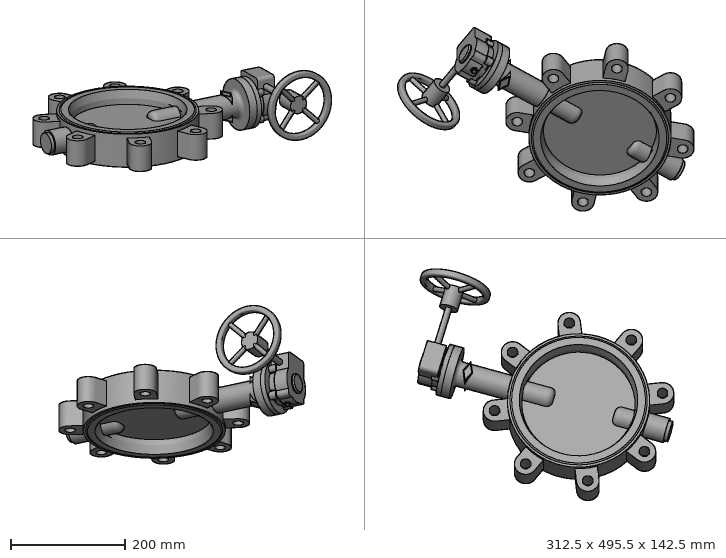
import cadquery as cq
import math


RING_RADIUS = 124.5
RING_HALF_HEIGHT = 30.5
FACE_RADIUS = 120.0
FACE_HEIGHT = 1.5
FACE_EDGE_WIDTH = 3.0
MOUTH_RADIUS = 103.5
DISC_RADIUS = 99.0
DISC_HALF_THICKNESS = 6.0
THROAT_TOP = 17.0
WALL_MIDDLE = (MOUTH_RADIUS + RING_RADIUS) / 2

LUG_COUNT = 8
BOLT_CIRCLE_RADIUS = 147.5
LUG_RADIUS = 20.0
LUG_HEIGHT = 47.5
LUG_HOLE_DIAMETER = 18.5

STEM_DIAMETER = 38.0
STEM_END_FILLET = 10.5
UPPER_BOSS_END = 45.0
LOWER_BOSS_END = -64.5

NECK_DIAMETER = 44.0
LOWER_NECK_END = -160.5
STEM_STUB_DIAMETER = 37.0
STEM_STUB_END = -167.0
FLANGE_RADIUS = 46.0
FLANGE_BOTTOM = 221.5
MATING_PLANE = 237.0
NECK_FLARE = 7.0

DIAMOND_CENTER = 201.5
DIAMOND_HALF_WIDTH = 20.0
DIAMOND_HALF_LENGTH = 9.0
DIAMOND_HALF_HEIGHT = 23.5
DIAMOND_INNER_RATIO = 0.8
DIAMOND_RECESS = 0.5

GEAR_FLANGE_TOP = 246.0
BLOCK_END_Y = 248.0
GEAR_TOP = 283.0
BLOCK_HALF_WIDTH = 28.0
BLOCK_BOTTOM = -30.5
BLOCK_TOP = 51.5
BLOCK_FILLET = 6.5
DRUM_RADIUS = 34.0
DRUM_BOTTOM = 257.5
CORE_TOP_RADIUS = 33.0
CORE_BOTTOM_RADIUS = 31.5
BOLT_OFFSET = 25.0
BOLT_DIAMETER = 15.5
BOLT_TOP = 259.0
CAP_RADIUS = 18.0
CAP_TOP = 287.5
CAP_CHAMFER = 2.5

WHEEL_AXIS_Y = 265.5
WHEEL_AXIS_Z = 33.5
ROD_DIAMETER = 11.5
HUB_START = 100.0
HUB_END = 138.0
HUB_RADIUS = 16.5
RIM_CENTER_X = 141.5
RIM_WIDTH = 12.5
RIM_OUTER_RADIUS = 63.0
RIM_INNER_RADIUS = 52.0
RIM_FILLET = 3.0
SPOKE_COUNT = 4
SPOKE_RADIUS = 4.5
SPOKE_START_X = 132.0

PLUG_HEX_SIZE = 13.0
PLUG_HEX_HEIGHT = 5.0
PLUG_TIP_DIAMETER = 7.5
PLUG_TIP_HEIGHT = 3.0


def cylinder_along_y(radius, start, end, x=0.0, z=0.0):
    return cq.Workplane("XZ", origin=(x, start, z)).circle(radius).extrude(start - end)


def cylinder_along_x(radius, start, end):
    center = (start, WHEEL_AXIS_Y, WHEEL_AXIS_Z)
    return cq.Workplane("YZ", origin=center).circle(radius).extrude(end - start)


def make_ring_with_disc():
    """Ring closed by the disc: one half profile above the XY plane, mirrored and revolved."""
    top = RING_HALF_HEIGHT + FACE_HEIGHT
    upper = [
        (0, DISC_HALF_THICKNESS),
        (DISC_RADIUS, DISC_HALF_THICKNESS),
        (DISC_RADIUS, THROAT_TOP),
        (MOUTH_RADIUS, top),
        (FACE_RADIUS - FACE_EDGE_WIDTH, top),
        (FACE_RADIUS, RING_HALF_HEIGHT),
        (RING_RADIUS, RING_HALF_HEIGHT),
    ]
    lower = [(radius, -height) for radius, height in reversed(upper)]
    return cq.Workplane("XZ").polyline(upper + lower).close().revolve(360, (0, 0), (0, 1))


def make_lug(angle):
    """Round-ended lug reaching from inside the ring wall to the bolt circle."""
    lug = (
        cq.Workplane("XY", origin=(0, 0, -LUG_HEIGHT / 2))
        .moveTo(WALL_MIDDLE, -LUG_RADIUS)
        .lineTo(BOLT_CIRCLE_RADIUS, -LUG_RADIUS)
        .threePointArc((BOLT_CIRCLE_RADIUS + LUG_RADIUS, 0), (BOLT_CIRCLE_RADIUS, LUG_RADIUS))
        .lineTo(WALL_MIDDLE, LUG_RADIUS)
        .close()
        .extrude(LUG_HEIGHT)
    )
    hole = (
        cq.Workplane("XY", origin=(BOLT_CIRCLE_RADIUS, 0, -LUG_HEIGHT / 2))
        .circle(LUG_HOLE_DIAMETER / 2)
        .extrude(LUG_HEIGHT)
    )
    return lug.cut(hole).rotate((0, 0, 0), (0, 0, 1), angle)


def make_stem_bosses():
    """Stem ends reaching in from the ring wall over the disc, with rounded tips."""
    stem_radius = STEM_DIAMETER / 2
    upper = cylinder_along_y(stem_radius, UPPER_BOSS_END, WALL_MIDDLE)
    upper = upper.faces("<Y").edges().fillet(STEM_END_FILLET)
    lower = cylinder_along_y(stem_radius, -WALL_MIDDLE, LOWER_BOSS_END)
    lower = lower.faces(">Y").edges().fillet(STEM_END_FILLET)
    return upper.union(lower)


def make_upper_neck():
    """Neck that flares through a concave arc into the mounting flange."""
    arc_center_radius = NECK_DIAMETER / 2 + NECK_FLARE
    arc_center_y = FLANGE_BOTTOM - NECK_FLARE
    arc_offset = NECK_FLARE * math.sqrt(0.5)
    return (
        cq.Workplane("XY")
        .moveTo(0, WALL_MIDDLE)
        .lineTo(NECK_DIAMETER / 2, WALL_MIDDLE)
        .lineTo(NECK_DIAMETER / 2, arc_center_y)
        .threePointArc(
            (arc_center_radius - arc_offset, arc_center_y + arc_offset),
            (arc_center_radius, FLANGE_BOTTOM),
        )
        .lineTo(FLANGE_RADIUS, FLANGE_BOTTOM)
        .lineTo(FLANGE_RADIUS, MATING_PLANE)
        .lineTo(0, MATING_PLANE)
        .close()
        .revolve(360, (0, 0), (0, 1))
    )


def make_lower_neck():
    neck = cylinder_along_y(NECK_DIAMETER / 2, LOWER_NECK_END, -WALL_MIDDLE)
    return neck.union(cylinder_along_y(STEM_STUB_DIAMETER / 2, STEM_STUB_END, LOWER_NECK_END))


def make_diamond(scale, bottom, top):
    width = scale * DIAMOND_HALF_WIDTH
    length = scale * DIAMOND_HALF_LENGTH
    corners = [(width, 0), (0, length), (-width, 0), (0, -length)]
    plane = cq.Workplane("XY", origin=(0, DIAMOND_CENTER, bottom))
    return plane.polyline(corners).close().extrude(top - bottom)


def make_diamond_pads():
    """Diamond block through the neck with a shallow recess in both ends."""
    pads = make_diamond(1, -DIAMOND_HALF_HEIGHT, DIAMOND_HALF_HEIGHT)
    floor = DIAMOND_HALF_HEIGHT - DIAMOND_RECESS
    pads = pads.cut(make_diamond(DIAMOND_INNER_RATIO, floor, DIAMOND_HALF_HEIGHT))
    return pads.cut(make_diamond(DIAMOND_INNER_RATIO, -DIAMOND_HALF_HEIGHT, -floor))


def make_valve():
    valve = make_ring_with_disc().union(make_stem_bosses())
    for index in range(LUG_COUNT):
        valve = valve.union(make_lug((index + 0.5) * 360 / LUG_COUNT))
    valve = valve.union(make_upper_neck().union(make_diamond_pads()))
    return valve.union(make_lower_neck())


def make_tapered_core():
    return (
        cq.Workplane("XY")
        .moveTo(0, GEAR_FLANGE_TOP)
        .lineTo(CORE_BOTTOM_RADIUS, GEAR_FLANGE_TOP)
        .lineTo(CORE_TOP_RADIUS, DRUM_BOTTOM)
        .lineTo(0, DRUM_BOTTOM)
        .close()
        .revolve(360, (0, 0), (0, 1))
    )


def make_gear_housing():
    """Flange, core, drum and rounded block, with four bolt heads and an end cap."""
    housing = cylinder_along_y(FLANGE_RADIUS, MATING_PLANE, GEAR_FLANGE_TOP)
    housing = housing.union(make_tapered_core())
    housing = housing.union(cylinder_along_y(DRUM_RADIUS, DRUM_BOTTOM, GEAR_TOP))
    block = (
        cq.Workplane("XY")
        .box(2 * BLOCK_HALF_WIDTH, GEAR_TOP - BLOCK_END_Y, BLOCK_TOP - BLOCK_BOTTOM)
        .edges("|Y")
        .fillet(BLOCK_FILLET)
        .translate((0, (GEAR_TOP + BLOCK_END_Y) / 2, (BLOCK_TOP + BLOCK_BOTTOM) / 2))
    )
    housing = housing.union(block)
    for x in (-BOLT_OFFSET, BOLT_OFFSET):
        for z in (-BOLT_OFFSET, BOLT_OFFSET):
            housing = housing.union(cylinder_along_y(BOLT_DIAMETER / 2, GEAR_FLANGE_TOP, BOLT_TOP, x, z))
    cap = cylinder_along_y(CAP_RADIUS, GEAR_TOP, CAP_TOP).faces(">Y").edges().chamfer(CAP_CHAMFER)
    return housing.union(cap)


def make_plug():
    hexagon = (
        cq.Workplane("XY", origin=(0, WHEEL_AXIS_Y, BLOCK_BOTTOM))
        .polygon(6, PLUG_HEX_SIZE)
        .extrude(-PLUG_HEX_HEIGHT)
    )
    return hexagon.faces("<Z").workplane().circle(PLUG_TIP_DIAMETER / 2).extrude(PLUG_TIP_HEIGHT)


def make_rim():
    start = RIM_CENTER_X - RIM_WIDTH / 2
    end = RIM_CENTER_X + RIM_WIDTH / 2
    rim = cylinder_along_x(RIM_OUTER_RADIUS, start, end)
    opening = cylinder_along_x(RIM_INNER_RADIUS, start, end)
    return rim.cut(opening).edges().fillet(RIM_FILLET)


def make_spoke(angle):
    """Round spoke leaning from the hub axis out to the middle of the rim."""
    rim_middle = (RIM_OUTER_RADIUS + RIM_INNER_RADIUS) / 2
    lean = RIM_CENTER_X - SPOKE_START_X
    start = cq.Vector(SPOKE_START_X, WHEEL_AXIS_Y, WHEEL_AXIS_Z)
    direction = cq.Vector(
        lean,
        rim_middle * math.cos(math.radians(angle)),
        rim_middle * math.sin(math.radians(angle)),
    )
    return cq.Workplane(cq.Solid.makeCylinder(SPOKE_RADIUS, direction.Length, start, direction))


def make_handwheel():
    wheel = cylinder_along_x(ROD_DIAMETER / 2, 0, HUB_START)
    wheel = wheel.union(cylinder_along_x(HUB_RADIUS, HUB_START, HUB_END))
    wheel = wheel.union(make_rim())
    for index in range(SPOKE_COUNT):
        wheel = wheel.union(make_spoke((index + 0.5) * 360 / SPOKE_COUNT))
    return wheel


def make_actuator():
    return make_gear_housing().union(make_plug()).union(make_handwheel())


valve = make_valve().solids()
actuator = make_actuator().solids()
result = cq.Compound.makeCompound([valve.val(), actuator.val()])